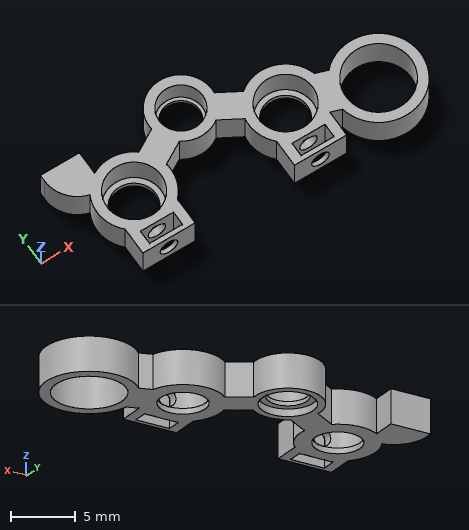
import cadquery as cq
import math

length = 30.38
thickness = 3.0
wall = 0.9

ring_spacing = 7.0
ring_rise = 4.07
side_seat_diameter = 5.0
side_bore_diameter = 4.0
side_ledge = 0.5
middle_seat_diameter = 4.0
middle_bore_diameter = 3.4
middle_ledge = 1.0

recess_diameter = 4.6
recess_depth = 0.65

end_bore_diameter = 6.0
end_offset_x = 7.2
end_drop = 2.1
end_outer_diameter = end_bore_diameter + 2 * wall

web_width = 2.4
end_web_width = 3.6
end_web_tilt = -18.5
end_web_length = 5.77

block_width = 4.83
block_reach = 4.92
slot_width = 3.05
slot_depth = 1.28
slot_front_wall = 0.43
screw_diameter = 1.6
screw_length = 2.73

foot_radius = 3.0
foot_margin = 0.6
foot_top = 5.1

left_center = (-ring_spacing, 0)
middle_center = (0, ring_rise)
right_center = (ring_spacing, 0)
end_center = (ring_spacing + end_offset_x, -end_drop)
foot_left = end_center[0] + end_outer_diameter / 2 - length


def cylinder(center, diameter, base=0.0, top=thickness):
    """Vertical cylinder between two heights."""
    return cq.Workplane("XY", origin=(*center, base)).circle(diameter / 2).extrude(top - base)


def bar(center, bar_length, width, angle):
    """Full-thickness bar turned about Z by the angle."""
    blank = cq.Workplane("XY").box(bar_length, width, thickness, centered=(True, True, False))
    return blank.rotate((0, 0, 0), (0, 0, 1), angle).translate((*center, 0))


def web(start, end, width):
    """Straight web joining two ring centers."""
    run = end[0] - start[0]
    rise = end[1] - start[1]
    middle = ((start[0] + end[0]) / 2, (start[1] + end[1]) / 2)
    return bar(middle, math.hypot(run, rise), width, math.degrees(math.atan2(rise, run)))


def end_web():
    """Web to the end ring, tilted slightly more than the line of centers."""
    middle = ((right_center[0] + end_center[0]) / 2, (right_center[1] + end_center[1]) / 2)
    return bar(middle, end_web_length, end_web_width, end_web_tilt)


def foot():
    """Square pad with its outer lower corner rounded off."""
    size = foot_radius + foot_margin
    bottom = foot_top - size
    outline = cq.Workplane("XY").center(foot_left, bottom).rect(size, size, centered=False)
    pad = outline.extrude(thickness)
    return pad.edges("|Z and <X and <Y").fillet(foot_radius)


def block(center):
    """Clamp block reaching from a ring center toward -Y."""
    return bar((center[0], center[1] - block_reach / 2), block_reach, block_width, 90)


def slot(center):
    """Vertical nut slot through a clamp block."""
    slot_y = center[1] - block_reach + slot_front_wall + slot_depth / 2
    return bar((center[0], slot_y), slot_width, slot_depth, 0)


def screw_hole(center):
    """Horizontal screw hole through a clamp block into the ring seat."""
    start = (center[0], center[1] - block_reach, thickness / 2)
    hole = cq.Solid.makeCylinder(screw_diameter / 2, screw_length, cq.Vector(*start), cq.Vector(0, 1, 0))
    return cq.Workplane(obj=hole)


side_centers = (left_center, right_center)

body = cylinder(middle_center, middle_seat_diameter + 2 * wall)
body = body.union(cylinder(end_center, end_outer_diameter))
body = body.union(foot())
body = body.union(end_web())
for center in side_centers:
    body = body.union(cylinder(center, side_seat_diameter + 2 * wall))
    body = body.union(block(center))
    body = body.union(web(center, middle_center, web_width))

body = body.cut(cylinder(middle_center, middle_bore_diameter))
body = body.cut(cylinder(middle_center, middle_seat_diameter, middle_ledge))
body = body.cut(cylinder(middle_center, recess_diameter, top=recess_depth))
body = body.cut(cylinder(end_center, end_bore_diameter))
for center in side_centers:
    body = body.cut(cylinder(center, side_bore_diameter))
    body = body.cut(cylinder(center, side_seat_diameter, side_ledge))
    body = body.cut(slot(center))
    body = body.cut(screw_hole(center))

result = body